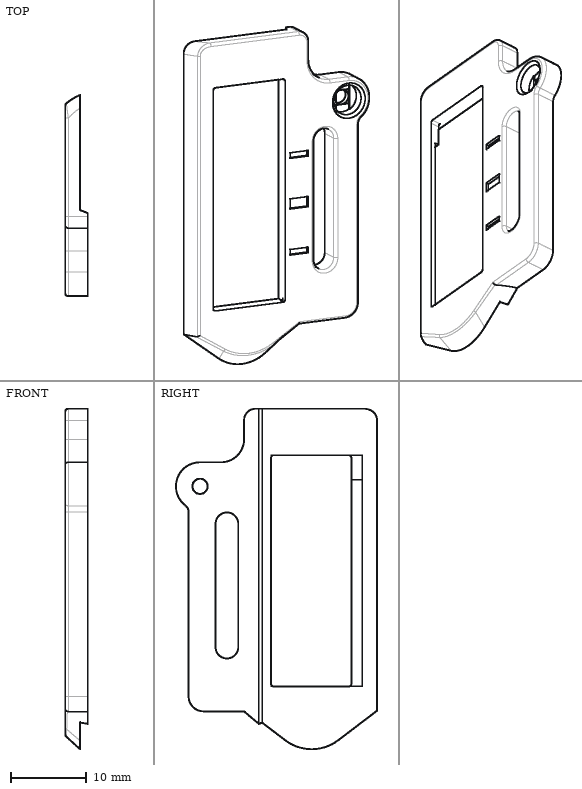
import cadquery as cq
import math


thick = 3.0
thin = 2.0
plate_top = 40.1
side_y = 25.0
side_front_y = 23.72
side_bulge = 0.115
shoulder_y = 7.35
bottom_radius = 2.05
top_radius = 1.55
edge_round = 0.4

boss_radius = 3.2
boss_y = 1.55
boss_z = 29.8
shoulder_radius = 3.0
neck_radius = 1.0
screw_diameter = 2.0
head_diameter = 4.0
head_depth = 1.8
head_lead_in = 0.4
bridge_step = 0.2

lobe_y = 16.33
lobe_top = 4.5
lobe_half_width = 9.9
lobe_front = {"tip": -3.2, "radius": 7.2, "angle": 31.0}
lobe_rear = {"tip": -5.95, "radius": 5.15, "angle": 40.0}

step_foot_y = 9.75
step_crest_y = 9.35

window_low_y = 10.95
window_high_y = 21.55
window_bottom = 3.35
window_top = 33.9
window_radius = 0.3
ledge_wall = 1.3
ledge_reach = 1.45
cable_wall = 0.7
cable_top = 30.65

slot_y = 5.1
slot_width = 2.98
slot_low_center = 8.52
slot_high_center = 24.85

mark_center_y = 8.9
mark_length = 2.65
mark_depth = 0.4
mark_middle_z = 16.7
mark_spacing = 6.65
small_mark_height = 0.75
large_mark_height = 1.4


def front_plane():
    """Sketch plane on the front face; local axes are Y and Z, and it extrudes toward +X."""
    return cq.Workplane("YZ")


def block(x_range, y_range, z_range):
    """Box between the low and high limit on each axis."""
    sizes = [high - low for low, high in (x_range, y_range, z_range)]
    low_corner = (x_range[0], y_range[0], z_range[0])
    return cq.Workplane("XY").box(*sizes, centered=False).translate(low_corner)


def plate():
    """Plate with the screw boss; the lobe fills its open lower corner."""
    boss_top = boss_z + boss_radius
    neck_drop = math.sqrt((boss_radius + neck_radius) ** 2 - (boss_y + neck_radius) ** 2)
    neck_z = boss_z - neck_drop
    touch = boss_radius / (boss_radius + neck_radius)
    neck_on_boss = (boss_y - touch * (boss_y + neck_radius), boss_z - touch * neck_drop)
    neck_bend = math.atan2(neck_drop, boss_y + neck_radius) / 2
    neck_mid = (neck_radius * (math.cos(neck_bend) - 1), neck_z + neck_radius * math.sin(neck_bend))
    diagonal = math.sqrt(0.5)
    hollow_y = shoulder_y - shoulder_radius
    hollow_z = boss_top + shoulder_radius
    bottom_inset = bottom_radius * (1 - diagonal)
    top_inset = top_radius * (1 - diagonal)
    return (
        front_plane()
        .moveTo(bottom_radius, 0)
        .threePointArc((bottom_inset, bottom_inset), (0, bottom_radius))
        .lineTo(0, neck_z)
        .threePointArc(neck_mid, neck_on_boss)
        .threePointArc((boss_y - boss_radius, boss_z), (boss_y, boss_top))
        .lineTo(hollow_y, boss_top)
        .threePointArc(
            (hollow_y + shoulder_radius * diagonal, hollow_z - shoulder_radius * diagonal),
            (shoulder_y, hollow_z),
        )
        .lineTo(shoulder_y, plate_top - top_radius)
        .threePointArc(
            (shoulder_y + top_inset, plate_top - top_inset),
            (shoulder_y + top_radius, plate_top),
        )
        .lineTo(side_y, plate_top)
        .lineTo(side_y, lobe_top)
        .lineTo(lobe_y, lobe_top)
        .lineTo(lobe_y, 0)
        .close()
        .extrude(thick)
    )


def lobe_outline(work, tip, radius, angle):
    """Straight flanks joined by a tangent arc, closed inside the plate."""
    bend = math.radians(angle)
    arc_reach = radius * math.sin(bend)
    arc_z = tip + radius * (1 - math.cos(bend))
    end_z = arc_z + (lobe_half_width - arc_reach) * math.tan(bend)
    return (
        work.moveTo(lobe_y - lobe_half_width, lobe_top)
        .lineTo(lobe_y - lobe_half_width, end_z)
        .lineTo(lobe_y - arc_reach, arc_z)
        .threePointArc((lobe_y, tip), (lobe_y + arc_reach, arc_z))
        .lineTo(lobe_y + lobe_half_width, end_z)
        .lineTo(lobe_y + lobe_half_width, lobe_top)
        .close()
    )


def lobe():
    front = lobe_outline(front_plane(), **lobe_front)
    return lobe_outline(front.workplane(offset=thick), **lobe_rear).loft(ruled=True, combine=True)


def side_envelope():
    """Everything inside the bowed bevel of the window side."""
    low_y = boss_y - 2 * boss_radius
    bevel_middle = (thin / 2, (side_front_y + side_y) / 2 + side_bulge)
    return (
        cq.Workplane("XY", origin=(0, 0, -plate_top))
        .moveTo(0, low_y)
        .lineTo(0, side_front_y)
        .threePointArc(bevel_middle, (thin, side_y))
        .lineTo(thick, side_y)
        .lineTo(thick, low_y)
        .close()
        .extrude(2 * plate_top)
    )


def rear_step():
    return (
        cq.Workplane("XY", origin=(0, 0, -plate_top))
        .polyline([
            (thin, step_foot_y),
            (thick, step_crest_y),
            (thick, 2 * side_y),
            (thin, 2 * side_y),
        ])
        .close()
        .extrude(2 * plate_top)
    )


def window():
    """Window opening, recessed from behind along its bevelled side."""
    recess_y = (window_low_y, window_high_y + ledge_reach)
    opening = block((0, thick), (window_low_y, window_high_y), (window_bottom, window_top))
    opening = opening.edges("|X").fillet(window_radius)
    ledge = block((ledge_wall, thick), recess_y, (window_bottom, window_top))
    cable_notch = block((cable_wall, thick), recess_y, (window_bottom, cable_top))
    return opening.union(ledge).union(cable_notch)


def slot():
    length = slot_high_center - slot_low_center + slot_width
    center_z = (slot_high_center + slot_low_center) / 2
    return front_plane().center(slot_y, center_z).slot2D(length, slot_width, 90).extrude(thick)


def screw_head():
    """Flat-bottomed seat with a conical lead-in at the front face."""
    radius = head_diameter / 2
    seat = front_plane().center(boss_y, boss_z).circle(radius).extrude(head_depth)
    lead_in = cq.Solid.makeCone(
        radius + head_lead_in,
        radius,
        head_lead_in,
        pnt=cq.Vector(0, boss_y, boss_z),
        dir=cq.Vector(1, 0, 0),
    )
    return seat.union(cq.Workplane(lead_in))


def screw_hole():
    """Through hole with a cross-wise relief and a square relief below the screw head."""
    at_boss = front_plane().center(boss_y, boss_z)
    hole = at_boss.circle(screw_diameter / 2).extrude(thick)
    relief = (
        at_boss.circle(head_diameter / 2)
        .extrude(head_depth + bridge_step)
        .intersect(at_boss.rect(screw_diameter, head_diameter).extrude(thick))
    )
    square = at_boss.rect(screw_diameter, screw_diameter).extrude(head_depth + 2 * bridge_step)
    return hole.union(relief).union(square)


def marks():
    cutters = front_plane()
    for offset, height in (
        (-mark_spacing, small_mark_height),
        (0, large_mark_height),
        (mark_spacing, small_mark_height),
    ):
        mark = front_plane().center(mark_center_y, mark_middle_z + offset)
        cutters = cutters.add(mark.rect(mark_length, height).extrude(mark_depth))
    return cutters.combine()


bevelled_corner = cq.selectors.BoxSelector(
    (0, side_front_y, plate_top - edge_round),
    (thin, side_y, plate_top + edge_round),
)
body = plate().union(lobe()).intersect(side_envelope()).cut(rear_step())
body = body.edges(bevelled_corner).fillet(top_radius)
body = body.cut(slot()).faces("<X").edges().fillet(edge_round)
body = body.cut(screw_head())

result = body.cut(window()).cut(screw_hole()).cut(marks())